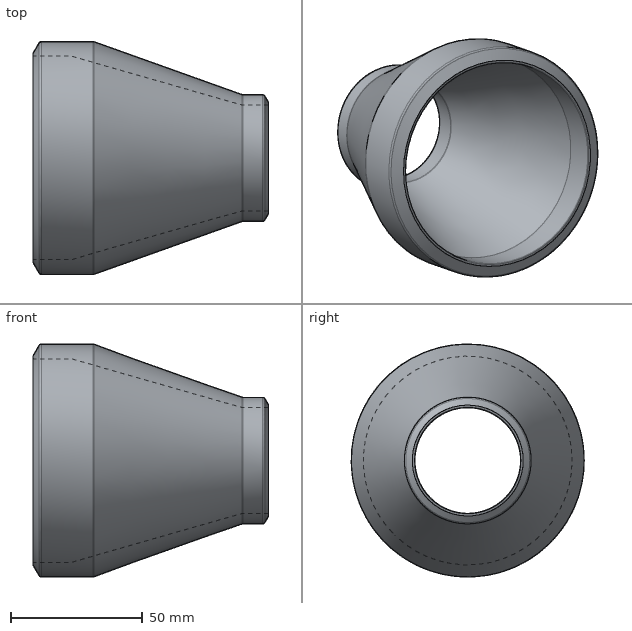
import cadquery as cq
import math

length = 90.0
large_outer_diameter = 88.9
large_bore_diameter = 77.7
small_outer_diameter = 48.3
small_bore_diameter = 40.3
cone_start = 23.2
cone_end = 80.0
bore_cone_start = 14.85

land_width = 1.0
bevel_angle = math.radians(30)

outer_edge_radius = 1.0
mouth_radius = 0.3


def bevel_depth(outer_radius, bore_radius):
    """Axial depth of the bevel that leaves the land at the end face."""
    bevel_height = outer_radius - bore_radius - land_width
    return bevel_height * math.tan(bevel_angle)


large_outer = large_outer_diameter / 2
large_bore = large_bore_diameter / 2
small_outer = small_outer_diameter / 2
small_bore = small_bore_diameter / 2
large_bevel = bevel_depth(large_outer, large_bore)
small_bevel = bevel_depth(small_outer, small_bore)

wall_section = [
    (0, large_bore),
    (0, large_bore + land_width),
    (large_bevel, large_outer),
    (cone_start, large_outer),
    (cone_end, small_outer),
    (length - small_bevel, small_outer),
    (length, small_bore + land_width),
    (length, small_bore),
    (cone_end, small_bore),
    (bore_cone_start, large_bore),
]

reducer = cq.Workplane("XY").polyline(wall_section).close().revolve(360, (0, 0, 0), (1, 0, 0))


def circular_edge(axial_position, radius):
    """Select the circular edges up to the given radius at an axial position."""
    tolerance = 0.01
    low_corner = (axial_position - tolerance, -radius - tolerance, -radius - tolerance)
    high_corner = (axial_position + tolerance, radius + tolerance, radius + tolerance)
    return cq.selectors.BoxSelector(low_corner, high_corner, boundingbox=True)


rounded_edges = [
    (large_bevel, large_outer),
    (cone_start, large_outer),
    (cone_end, small_outer),
    (length - small_bevel, small_outer),
]
for axial_position, radius in rounded_edges:
    reducer = reducer.edges(circular_edge(axial_position, radius)).fillet(outer_edge_radius)

bore_mouths = [(0, large_bore), (length, small_bore)]
for axial_position, radius in bore_mouths:
    reducer = reducer.edges(circular_edge(axial_position, radius)).fillet(mouth_radius)

result = reducer